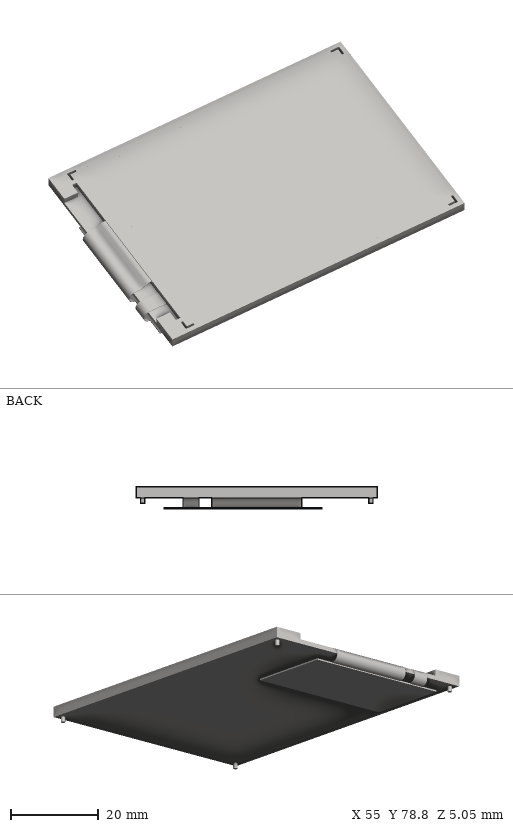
import cadquery as cq
import math


FRAME_WIDTH = 55.0
FRAME_LENGTH = 77.7
FRAME_HEIGHT = 2.5
FLOOR_DEPTH = 1.5
FLOOR_Z = FRAME_HEIGHT - FLOOR_DEPTH

RIM = 1.65
PANEL_WIDTH = FRAME_WIDTH - 2 * RIM
PANEL_FRONT = 4.8
PANEL_BACK = FRAME_LENGTH - RIM
PANEL_LENGTH = PANEL_BACK - PANEL_FRONT
PANEL_Y = (PANEL_FRONT + PANEL_BACK) / 2
RELIEF_GAP = 0.55
RELIEF_SIZE = 2.3

MOUTH_WIDTH = 40.85
MOUTH_STEP_WIDTH = 46.05
MOUTH_STEP_Y = 3.6

PIN_DIAMETER = 1.0
PIN_LENGTH = 1.3
PIN_INSET = 1.5
PIN_FRONT_INSET = 1.6

ACTIVE_WIDTH = 48.7
ACTIVE_LENGTH = 65.0
ACTIVE_BACK_MARGIN = 3.3
ACTIVE_Y = FRAME_LENGTH - ACTIVE_BACK_MARGIN - ACTIVE_LENGTH / 2
BORDER_WIDTH = 0.3
INLAY_DEPTH = 0.2

OVERALL_LENGTH = 78.85
OVERALL_HEIGHT = 5.05
RIBBON_THICKNESS = 0.1
TAIL_THICKNESS = 0.3
RIBBON_WIDTH = 20.6
RIBBON_TOP_DROP = 0.2
RIBBON_LIP = 0.4
RAMP_ANGLE = math.radians(34)
RAMP_RADIUS = 1.6
TONGUE_WIDTH = 3.7
TONGUE_X = 15.0
TAIL_BOTTOM = FRAME_HEIGHT - OVERALL_HEIGHT
TAIL_TOP = TAIL_BOTTOM + TAIL_THICKNESS
RIBBON_TOP = FLOOR_Z + RIBBON_THICKNESS
BEND_BOTTOM = TAIL_TOP - RIBBON_THICKNESS
BEND_RADIUS = (RIBBON_TOP - BEND_BOTTOM) / 2
BEND_Y = BEND_RADIUS - (OVERALL_LENGTH - FRAME_LENGTH)
TAIL_LEFT = -14.8
TAIL_RIGHT = 21.1
TAIL_BACK = 20.6


def block(width, length, bottom, top, x=0.0, y=0.0):
    """Upright box centred on x, y between two heights."""
    return (
        cq.Workplane("XY")
        .box(width, length, top - bottom, centered=(True, True, False))
        .translate((x, y, bottom))
    )


def between(left, right, front, back, bottom, top):
    """Upright box given by its sides."""
    return block(right - left, back - front, bottom, top, (left + right) / 2, (front + back) / 2)


def cut_panel_pocket(frame):
    """Pocket that takes the panel, opened a little wider at each corner."""
    frame = frame.cut(block(PANEL_WIDTH, PANEL_LENGTH, FLOOR_Z, FRAME_HEIGHT, y=PANEL_Y))
    relief_x = PANEL_WIDTH / 2 + RELIEF_GAP - RELIEF_SIZE / 2
    relief_y = PANEL_LENGTH / 2 + RELIEF_GAP - RELIEF_SIZE / 2
    for x in (-relief_x, relief_x):
        for y in (PANEL_Y - relief_y, PANEL_Y + relief_y):
            frame = frame.cut(block(RELIEF_SIZE, RELIEF_SIZE, FLOOR_Z, FRAME_HEIGHT, x, y))
    return frame


def cut_mouth(frame):
    """Stepped opening in the front rim, down to the pocket floor."""
    for width, front in ((MOUTH_WIDTH, 0), (MOUTH_STEP_WIDTH, MOUTH_STEP_Y)):
        frame = frame.cut(between(-width / 2, width / 2, front, PANEL_FRONT, FLOOR_Z, FRAME_HEIGHT))
    return frame


def add_pins(frame):
    """Locating pins under the four corners."""
    pin_x = FRAME_WIDTH / 2 - PIN_INSET
    for x in (-pin_x, pin_x):
        for y in (PIN_FRONT_INSET, FRAME_LENGTH - PIN_INSET):
            pin = cq.Workplane("XY").center(x, y).circle(PIN_DIAMETER / 2).extrude(-PIN_LENGTH)
            frame = frame.union(pin)
    return frame


def make_frame():
    frame = block(FRAME_WIDTH, FRAME_LENGTH, 0, FRAME_HEIGHT, y=FRAME_LENGTH / 2)
    frame = cut_panel_pocket(frame)
    frame = cut_mouth(frame)
    return add_pins(frame)


def inlay(extra):
    """Flush plate the size of the active area, widened by extra on every side."""
    width = ACTIVE_WIDTH + 2 * extra
    length = ACTIVE_LENGTH + 2 * extra
    return block(width, length, FRAME_HEIGHT - INLAY_DEPTH, FRAME_HEIGHT, y=ACTIVE_Y)


def make_panel():
    panel = block(PANEL_WIDTH, PANEL_LENGTH, FLOOR_Z, FRAME_HEIGHT, y=PANEL_Y)
    return panel.cut(inlay(BORDER_WIDTH))


def make_border():
    return inlay(BORDER_WIDTH).cut(inlay(0))


def make_active_area():
    return inlay(0)


def fold_under(top_outline):
    """Run a strip along the floor, round the front bend, and back inside to the panel's front face."""
    outer = BEND_RADIUS
    inner = BEND_RADIUS - RIBBON_THICKNESS
    bend_z = BEND_BOTTOM + BEND_RADIUS
    return (
        top_outline.lineTo(BEND_Y, RIBBON_TOP)
        .threePointArc((BEND_Y - outer, bend_z), (BEND_Y, BEND_BOTTOM))
        .lineTo(BEND_Y, TAIL_TOP)
        .threePointArc((BEND_Y - inner, bend_z), (BEND_Y, FLOOR_Z))
        .lineTo(PANEL_FRONT, FLOOR_Z)
        .close()
    )


def ramp_outline():
    """Top of the wide strip: a lip on the panel, a crest arc, a straight ramp and a foot arc."""
    lip_y = PANEL_FRONT - RIBBON_LIP
    lip_z = FRAME_HEIGHT - RIBBON_TOP_DROP
    arc_drop = RAMP_RADIUS * (1 - math.cos(RAMP_ANGLE))
    straight_drop = lip_z - RIBBON_TOP - 2 * arc_drop
    straight_run = straight_drop / math.tan(RAMP_ANGLE)
    foot_y = lip_y - 2 * RAMP_RADIUS * math.sin(RAMP_ANGLE) - straight_run

    def arc_offset(angle):
        return RAMP_RADIUS * math.sin(angle), RAMP_RADIUS * (1 - math.cos(angle))

    mid_run, mid_drop = arc_offset(RAMP_ANGLE / 2)
    end_run, end_drop = arc_offset(RAMP_ANGLE)
    return (
        cq.Workplane("YZ")
        .moveTo(PANEL_FRONT, FLOOR_Z)
        .lineTo(PANEL_FRONT, lip_z)
        .lineTo(lip_y, lip_z)
        .threePointArc((lip_y - mid_run, lip_z - mid_drop), (lip_y - end_run, lip_z - end_drop))
        .lineTo(foot_y + end_run, RIBBON_TOP + end_drop)
        .threePointArc((foot_y + mid_run, RIBBON_TOP + mid_drop), (foot_y, RIBBON_TOP))
    )


def space_under_ramp():
    """Hollow below the sloping part of the wide strip: the ramp's shape lowered by the thickness."""
    foot_to_panel = ramp_outline().vLineTo(FLOOR_Z).close()
    return foot_to_panel.extrude(RIBBON_WIDTH / 2, both=True).translate((0, 0, -RIBBON_THICKNESS))


def flat_outline():
    """Top of the narrow tongue: flat on the floor from the panel."""
    return cq.Workplane("YZ").moveTo(PANEL_FRONT, FLOOR_Z).lineTo(PANEL_FRONT, RIBBON_TOP)


def make_ribbon():
    """Wide strip and narrow tongue that fold under the frame into one common tail."""
    strip = fold_under(ramp_outline()).extrude(RIBBON_WIDTH / 2, both=True)
    strip = strip.cut(space_under_ramp())
    tongue = fold_under(flat_outline()).extrude(TONGUE_WIDTH / 2, both=True)
    tongue = tongue.translate((TONGUE_X, 0, 0))
    tail = between(TAIL_LEFT, TAIL_RIGHT, BEND_Y, TAIL_BACK, TAIL_BOTTOM, TAIL_TOP)
    return tail.union(strip).union(tongue)


ribbon = make_ribbon()
frame = make_frame().cut(ribbon)
panel = make_panel()
border = make_border()
active_area = make_active_area()

result = cq.Compound.makeCompound(
    [frame.val(), panel.val(), border.val(), active_area.val(), ribbon.val()]
)